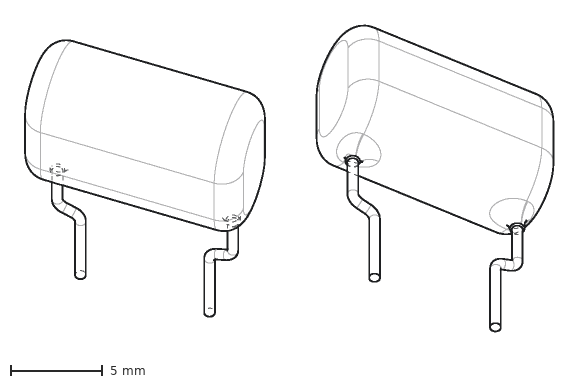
import cadquery as cq
import math

body_length = 12.6
body_thickness = 5.8
body_height = 9.2
end_fillet = 1.25

collar_diameter = 0.8
collar_length = 1.0
flare_radius = 1.25
collar_edge_chamfer = 0.1

lead_diameter = 0.6
lead_length = 10.0
upper_pitch = 10.2
lower_pitch = 7.5
kink_start = 3.65
bend_radius = 0.625
bend_angle = math.radians(70)

body_mid_z = body_height / 2
upper_x = upper_pitch / 2
lower_x = lower_pitch / 2


def make_body():
    """Coated body with a flared collar under each end."""
    block = (
        cq.Workplane("YZ")
        .center(0, body_mid_z)
        .slot2D(body_height, body_thickness, 90)
        .extrude(body_length / 2, both=True)
        .faces("<X or >X")
        .edges()
        .fillet(end_fillet)
    )
    for side in (-1, 1):
        collar = (
            cq.Workplane("XY", origin=(side * upper_x, 0, -collar_length))
            .circle(collar_diameter / 2)
            .extrude(collar_length + body_mid_z)
            .faces("<Z")
            .chamfer(collar_edge_chamfer)
        )
        block = block.union(collar)
    root_zone = cq.selectors.BoxSelector(
        (-body_length, -collar_diameter, -collar_length),
        (body_length, collar_diameter, collar_length),
    )
    seams = block.edges(root_zone).edges("%BSPLINE")
    return seams.fillet(flare_radius).solids()


def make_lead(side):
    """Wire that drops from its collar, kinks inward and runs down to its tip."""
    bend_inset = bend_radius * (1 - math.cos(bend_angle))
    bend_drop = bend_radius * math.sin(bend_angle)
    sloped_inset = upper_x - lower_x - 2 * bend_inset
    sloped_drop = sloped_inset / math.tan(bend_angle)

    slope_top = (side * (upper_x - bend_inset), -kink_start - bend_drop)
    slope_bottom = (side * (lower_x + bend_inset), slope_top[1] - sloped_drop)
    kink_end = (side * lower_x, slope_bottom[1] - bend_drop)

    centerline = (
        cq.Workplane("XZ")
        .moveTo(side * upper_x, -collar_length)
        .lineTo(side * upper_x, -kink_start)
        .tangentArcPoint(slope_top, relative=False)
        .lineTo(*slope_bottom)
        .tangentArcPoint(kink_end, relative=False)
        .lineTo(side * lower_x, -lead_length)
    )
    return (
        cq.Workplane("XY", origin=(side * upper_x, 0, -collar_length))
        .circle(lead_diameter / 2)
        .sweep(centerline)
    )


body = make_body()
leads = [make_lead(side) for side in (-1, 1)]

result = cq.Compound.makeCompound([body.val(), *[lead.val() for lead in leads]])